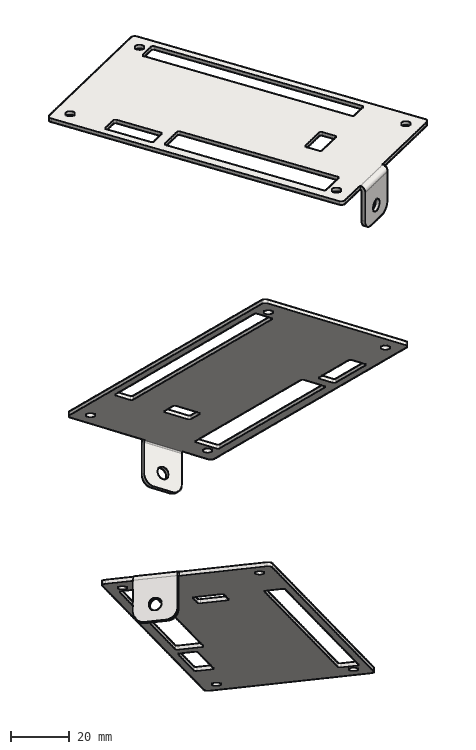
import cadquery as cq

overall_length = 117.0
overall_width = 61.0
overall_height = 17.5
thickness = 1.5
corner_radius = 1.5

bend_inner_radius = 0.5
bend_outer_radius = bend_inner_radius + thickness
plate_length = overall_length - bend_outer_radius

mount_hole_diameter = 3.3
mount_hole_inset_x = 5.7
mount_hole_inset_y = 5.8

window_corner_radius = 0.7
windows = [
    (9.0, 50.8, 82.3, 7.4),
    (86.1, 25.5, 6.4, 11.1),
    (43.4, 3.6, 62.7, 10.1),
    (20.7, 2.9, 18.7, 7.0),
]

tab_width = 15.9
tab_center_y = 20.1
tab_corner_radius = 4.0
tab_hole_diameter = 4.6
tab_hole_depth = 11.5
tab_bottom = thickness - overall_height


def make_window(left, front, length, width):
    """Cutter for one rounded rectangular window through the plate."""
    return (
        cq.Workplane("XY")
        .box(length, width, thickness, centered=False)
        .edges("|Z")
        .fillet(window_corner_radius)
        .translate((left, front, 0))
    )


def make_plate():
    """Flat plate with rounded corners, mounting holes and windows."""
    plate = (
        cq.Workplane("XY")
        .box(plate_length, overall_width, thickness, centered=False)
        .edges("|Z")
        .fillet(corner_radius)
    )
    hole_centers = [
        (x, y)
        for x in (mount_hole_inset_x, plate_length - mount_hole_inset_x)
        for y in (mount_hole_inset_y, overall_width - mount_hole_inset_y)
    ]
    holes = (
        cq.Workplane("XY")
        .pushPoints(hole_centers)
        .circle(mount_hole_diameter / 2)
        .extrude(thickness)
    )
    plate = plate.cut(holes)
    for window in windows:
        plate = plate.cut(make_window(*window))
    return plate


def make_tab():
    """Quarter-round bend and hanging tab, with rounded lower corners and a hole."""
    inner_face_x = overall_length - thickness
    tab = (
        cq.Workplane("XZ", origin=(0, tab_center_y, 0))
        .moveTo(plate_length, 0)
        .lineTo(plate_length, thickness)
        .radiusArc((overall_length, -bend_inner_radius), bend_outer_radius)
        .lineTo(overall_length, tab_bottom)
        .lineTo(inner_face_x, tab_bottom)
        .lineTo(inner_face_x, -bend_inner_radius)
        .radiusArc((plate_length, 0), -bend_inner_radius)
        .close()
        .extrude(tab_width / 2, both=True)
        .faces("<Z")
        .edges("|X")
        .fillet(tab_corner_radius)
    )
    hole = (
        cq.Workplane("YZ", origin=(inner_face_x, tab_center_y, thickness - tab_hole_depth))
        .circle(tab_hole_diameter / 2)
        .extrude(thickness)
    )
    return tab.cut(hole)


result = make_plate().union(make_tab())